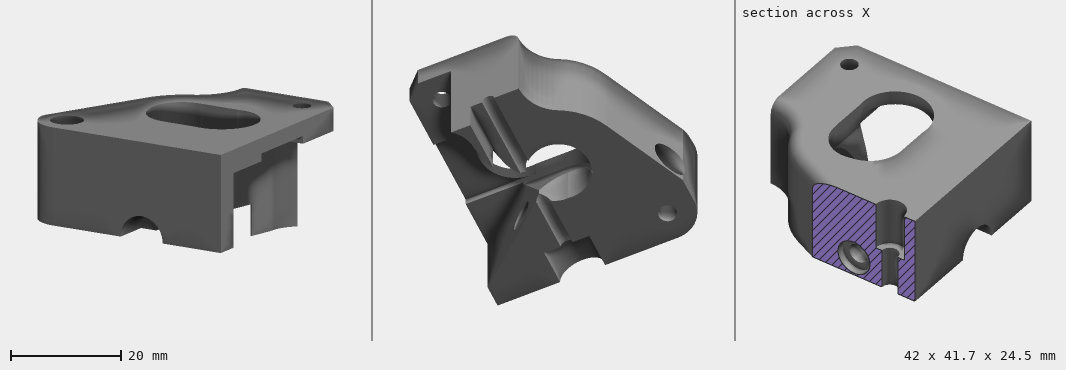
import cadquery as cq
import math

LENGTH = 42.0
DEPTH = 41.65
HEIGHT = 18.5
CORNER_RADIUS = 6.0
CORNER_CHAMFER = 3.0

FLANK_START_Y = 11.15
FLANK_ANGLE = 65.0
CONVEX_RADIUS = 13.9
CONVEX_END_ANGLE = 25.7
CONCAVE_RADIUS = 8.1
TOP_FILLET = 2.5

MOTOR_X = LENGTH / 2
MOTOR_Y = 21.13
SCREW_SPACING = 31.0
FRONT_SCREW_DIAMETER = 3.5
FRONT_HEAD_DIAMETER = 6.2
FRONT_HEAD_DEPTH = 10.0
PIVOT_SCREW_DIAMETER = 3.4
FRONT_SCREW = (MOTOR_X - SCREW_SPACING / 2, MOTOR_Y - SCREW_SPACING / 2)
PIVOT = (MOTOR_X + SCREW_SPACING / 2, MOTOR_Y + SCREW_SPACING / 2)

WINDOW_RADIUS = 7.0
WINDOW_DEPTH = 5.0
FUNNEL_WALL_ANGLE = 68.5
SHAFT_DIAMETER = 10.0
GEAR_DIAMETER = 12.0
GEAR_X = 19.8
GEAR_Y = 22.1
BEARING_X = 29.0
BEARING_RADIUS = 7.1

CAVITY_HEIGHT = 14.05
GROOVE_HEIGHT = 15.55
LEVER_RADIUS = 6.5
LEVER_WALL_ANGLE = 77.2
BEND_START_Y = 28.2
BEND_END = (25.55, 23.85)
NOSE = (25.3, 18.6)
LOWER_WALL_ANGLE = 40.5

TAB_LEFT_X = 28.55
TAB_LENGTH = 10.0
TAB_DROP = 6.0

FILAMENT_X = 25.05
FILAMENT_DIAMETER = 2.4
COUPLING_DIAMETER = 9.0
COUPLING_DEPTH = 7.0

TENSION_Y = 13.7
TENSION_Z = 4.0
TENSION_DIAMETER = 4.0
TENSION_HEAD_DIAMETER = 7.0
TENSION_HEAD_FLOOR_X = 7.0


def vertical_cylinder(x, y, diameter, bottom, top):
    return cq.Workplane("XY", origin=(x, y, bottom)).circle(diameter / 2).extrude(top - bottom)


def cylinder_along_x(y, z, diameter, length):
    return cq.Workplane("YZ", origin=(0, y, z)).circle(diameter / 2).extrude(length)


def cylinder_along_y(x, z, diameter, length):
    return cq.Workplane("XZ", origin=(x, 0, z)).circle(diameter / 2).extrude(-length)


def box(x_range, y_range, z_range):
    size = [end - start for start, end in (x_range, y_range, z_range)]
    return cq.Workplane("XY", origin=(x_range[0], y_range[0], z_range[0])).box(*size, centered=False)


def point_on_circle(center, radius, degrees):
    angle = math.radians(degrees)
    return (center[0] + radius * math.cos(angle), center[1] + radius * math.sin(angle))


def contoured_side():
    """Oversized slab whose left side is the sloping contour, rounded along its top edge."""
    concave_start_y = DEPTH - CONCAVE_RADIUS * math.cos(math.radians(CONVEX_END_ANGLE))
    rise = CONVEX_RADIUS * (
        math.cos(math.radians(CONVEX_END_ANGLE)) - math.cos(math.radians(FLANK_ANGLE)))
    run = CONVEX_RADIUS * (
        math.sin(math.radians(FLANK_ANGLE)) - math.sin(math.radians(CONVEX_END_ANGLE)))
    slope = math.tan(math.radians(FLANK_ANGLE))

    flank_end_y = concave_start_y - rise
    flank_end = ((flank_end_y - FLANK_START_Y) / slope, flank_end_y)
    concave_start = (flank_end[0] + run, concave_start_y)
    convex_center = point_on_circle(flank_end, CONVEX_RADIUS, FLANK_ANGLE - 90)
    convex_middle = point_on_circle(
        convex_center, CONVEX_RADIUS, 90 + (FLANK_ANGLE + CONVEX_END_ANGLE) / 2)
    concave_center = point_on_circle(concave_start, CONCAVE_RADIUS, 90 + CONVEX_END_ANGLE)
    concave_middle = point_on_circle(concave_center, CONCAVE_RADIUS, (CONVEX_END_ANGLE - 90) / 2)
    concave_end = point_on_circle(concave_center, CONCAVE_RADIUS, 0)
    flank_foot = (-FLANK_START_Y / slope, 0)

    slab = (
        cq.Workplane("XY")
        .moveTo(*flank_foot)
        .lineTo(*flank_end)
        .threePointArc(convex_middle, concave_start)
        .threePointArc(concave_middle, concave_end)
        .lineTo(LENGTH, DEPTH)
        .lineTo(LENGTH, 0)
        .close()
        .extrude(HEIGHT)
    )
    margin = 0.4
    contour_edges = slab.faces(">Z").edges(
        cq.selectors.BoxSelector(
            (flank_foot[0], margin, HEIGHT - margin),
            (concave_end[0], DEPTH - margin, HEIGHT + margin)))
    return contour_edges.fillet(TOP_FILLET)


def block():
    rounded = box((0, LENGTH), (0, DEPTH), (0, HEIGHT))
    rounded = rounded.edges("|Z and <X and <Y").fillet(CORNER_RADIUS)
    rounded = rounded.edges("|Z and >X and >Y").chamfer(CORNER_CHAMFER)
    return rounded.intersect(contoured_side())


def tab():
    return box((TAB_LEFT_X, PIVOT[0]), (DEPTH - TAB_LENGTH, DEPTH), (-TAB_DROP, 0))


def window():
    """Slot through the top that narrows to a trough between two steep walls."""
    outline = cq.Workplane("XY").center((MOTOR_X + BEARING_X) / 2, MOTOR_Y)
    slot = outline.slot2D(BEARING_X - MOTOR_X + 2 * WINDOW_RADIUS, 2 * WINDOW_RADIUS).extrude(HEIGHT)

    shoulder_z = HEIGHT - WINDOW_DEPTH
    floor_half_width = WINDOW_RADIUS - shoulder_z / math.tan(math.radians(FUNNEL_WALL_ANGLE))
    trough_outline = [
        (MOTOR_Y - floor_half_width, 0),
        (MOTOR_Y - WINDOW_RADIUS, shoulder_z),
        (MOTOR_Y - WINDOW_RADIUS, HEIGHT),
        (MOTOR_Y + WINDOW_RADIUS, HEIGHT),
        (MOTOR_Y + WINDOW_RADIUS, shoulder_z),
        (MOTOR_Y + floor_half_width, 0),
    ]
    trough = cq.Workplane("YZ").polyline(trough_outline).close().extrude(LENGTH)
    return slot.intersect(trough)


def lever_cavity():
    """Room for the lever that swings on the pivot screw, with a groove for its bearing."""
    back_reach = math.sqrt(LEVER_RADIUS ** 2 - (DEPTH - PIVOT[1]) ** 2)
    wall_top = point_on_circle(PIVOT, LEVER_RADIUS, 180)
    arc_end_angle = 180 - math.degrees(math.asin((DEPTH - PIVOT[1]) / LEVER_RADIUS))
    arc_middle = point_on_circle(PIVOT, LEVER_RADIUS, (180 + arc_end_angle) / 2)
    wall_slope = math.tan(math.radians(LEVER_WALL_ANGLE))
    bend_start = (wall_top[0] - (wall_top[1] - BEND_START_Y) / wall_slope, BEND_START_Y)
    lower_wall_end_y = NOSE[1] - (LENGTH - NOSE[0]) * math.tan(math.radians(LOWER_WALL_ANGLE))

    cavity = (
        cq.Workplane("XY", origin=(0, 0, -TAB_DROP))
        .moveTo(PIVOT[0] - back_reach, DEPTH)
        .threePointArc(arc_middle, wall_top)
        .lineTo(*bend_start)
        .tangentArcPoint(BEND_END, relative=False)
        .lineTo(*NOSE)
        .lineTo(LENGTH, lower_wall_end_y)
        .lineTo(LENGTH, DEPTH)
        .close()
        .extrude(CAVITY_HEIGHT + TAB_DROP)
    )
    groove = box(
        (bend_start[0], LENGTH),
        (MOTOR_Y - BEARING_RADIUS, MOTOR_Y + BEARING_RADIUS),
        (CAVITY_HEIGHT, GROOVE_HEIGHT),
    )
    return cavity.union(groove)


result = block().union(tab())

result = result.cut(window())
result = result.cut(lever_cavity())
result = result.cut(vertical_cylinder(MOTOR_X, MOTOR_Y, SHAFT_DIAMETER, 0, HEIGHT))
result = result.cut(vertical_cylinder(GEAR_X, GEAR_Y, GEAR_DIAMETER, 0, HEIGHT))
result = result.cut(vertical_cylinder(BEARING_X, MOTOR_Y, 2 * BEARING_RADIUS, CAVITY_HEIGHT, HEIGHT))

result = result.cut(vertical_cylinder(*FRONT_SCREW, FRONT_SCREW_DIAMETER, 0, HEIGHT))
front_head_floor_z = HEIGHT - FRONT_HEAD_DEPTH
result = result.cut(vertical_cylinder(*FRONT_SCREW, FRONT_HEAD_DIAMETER, front_head_floor_z, HEIGHT))
result = result.cut(vertical_cylinder(*PIVOT, PIVOT_SCREW_DIAMETER, 0, HEIGHT))

result = result.cut(cylinder_along_y(FILAMENT_X, 0, FILAMENT_DIAMETER, DEPTH))
result = result.cut(cylinder_along_y(FILAMENT_X, 0, COUPLING_DIAMETER, COUPLING_DEPTH))

result = result.cut(cylinder_along_x(TENSION_Y, TENSION_Z, TENSION_DIAMETER, LENGTH))
result = result.cut(cylinder_along_x(TENSION_Y, TENSION_Z, TENSION_HEAD_DIAMETER, TENSION_HEAD_FLOOR_X))